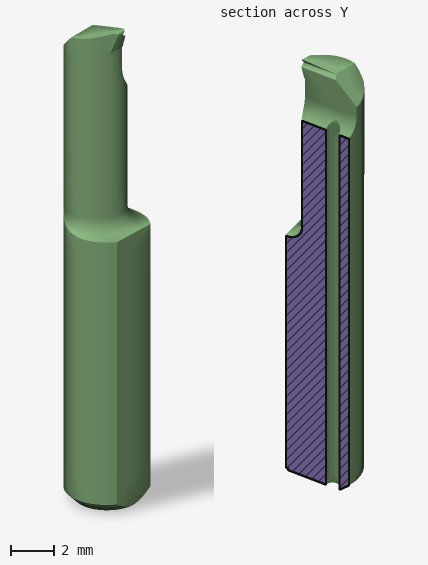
import cadquery as cq
import math


TOTAL_LENGTH = 24.0
SHANK_RADIUS = 2.0
SHANK_LENGTH = 13.8
FLAT_X = 1.55
END_CHAMFER = 0.5

NECK_RADIUS = 1.5
NECK_AXIS_X = -0.7
SHOULDER_RADIUS = 0.8

RELIEF_Y = 0.1
RELIEF_START_Z = 21.97
RELIEF_BEND_RADIUS = 1.25
RELIEF_RAMP_ANGLE = math.radians(45)

COOLANT_DIAMETER = 0.7
COOLANT_X = -1.0
COOLANT_Y = 0.6

TIP_X = 1.05
TIP_BOTTOM_Z = 23.0
NOSE_RADIUS = 0.12
NOSE_CENTRE_X = TIP_X - NOSE_RADIUS
NOSE_CENTRE_Z = TOTAL_LENGTH - NOSE_RADIUS
FLANK_LEAN = math.radians(15)
FLANK_CLEARANCE = math.radians(6)

END_FACE_SLOPE = math.radians(7.5)
END_FACE_CLEARANCE = math.radians(7)
BEVEL_START_Z = 22.5
BEVEL_ANGLE = math.radians(45)

CUTTING_EDGE_Y = 0.02
GROOVE_ROOT_Y = -0.13
GROOVE_ROOT_Z = 23.74
GROOVE_EXIT_Z = 23.62

CLEAR = 30.0


def half_space(point, normal):
    """Block lying on the side of a plane that its normal points to."""
    plane = cq.Plane(origin=point, normal=normal)
    return cq.Workplane(plane).rect(2 * CLEAR, 2 * CLEAR).extrude(CLEAR)


def shank_envelope():
    """Full-length round bar with the drive flat and the chamfer at the clamped end."""
    profile = [
        (0, 0),
        (SHANK_RADIUS - END_CHAMFER, 0),
        (SHANK_RADIUS, END_CHAMFER),
        (SHANK_RADIUS, TOTAL_LENGTH),
        (0, TOTAL_LENGTH),
    ]
    bar = cq.Workplane("XZ").polyline(profile).close().revolve(360, (0, 0), (0, 1))
    return bar.cut(half_space((FLAT_X, 0, 0), (1, 0, 0)))


def neck_clearance():
    """Ring around the neck axis that leaves the neck and its concave shoulder."""
    outer_radius = NECK_RADIUS + SHOULDER_RADIUS
    arc_drop = SHOULDER_RADIUS * math.sin(math.pi / 4)
    return (
        cq.Workplane("XZ", origin=(NECK_AXIS_X, 0, 0))
        .moveTo(NECK_RADIUS, TOTAL_LENGTH + CLEAR)
        .lineTo(NECK_RADIUS, SHANK_LENGTH + SHOULDER_RADIUS)
        .threePointArc(
            (outer_radius - arc_drop, SHANK_LENGTH + SHOULDER_RADIUS - arc_drop),
            (outer_radius, SHANK_LENGTH),
        )
        .lineTo(CLEAR, SHANK_LENGTH)
        .lineTo(CLEAR, TOTAL_LENGTH + CLEAR)
        .close()
        .revolve(360, (0, 0), (0, 1))
    )


def outside_nose(normal):
    """Half space beyond a plane that touches the nose circle at the cutting edge."""
    normal_x, _, normal_z = normal
    reach = NOSE_RADIUS / math.hypot(normal_x, normal_z)
    touch_point = (
        NOSE_CENTRE_X + reach * normal_x,
        CUTTING_EDGE_Y,
        NOSE_CENTRE_Z + reach * normal_z,
    )
    return half_space(touch_point, normal)


def end_face_stock():
    """Material above the end face, which falls away from the tip."""
    return outside_nose((-math.tan(END_FACE_SLOPE), -math.tan(END_FACE_CLEARANCE), 1))


def cutting_tip():
    """Side-cutting tooth, tangent to the neck at the back, with a relieved flank and a rounded nose."""
    tangent_offset = NECK_RADIUS * math.sin(math.pi / 4)
    back_x = NECK_AXIS_X + tangent_offset
    block_x = TIP_X + NOSE_RADIUS
    outline = [
        (back_x, RELIEF_Y),
        (back_x, -tangent_offset),
        (block_x, block_x - back_x - tangent_offset),
        (block_x, RELIEF_Y),
    ]
    tooth = (
        cq.Workplane("XY", origin=(0, 0, TIP_BOTTOM_Z))
        .polyline(outline)
        .close()
        .extrude(TOTAL_LENGTH + NOSE_RADIUS - TIP_BOTTOM_Z)
    )
    flank_stock = outside_nose((1, -math.tan(FLANK_CLEARANCE), -math.tan(FLANK_LEAN)))
    tooth = tooth.cut(flank_stock).cut(end_face_stock())
    nose_edge = cq.selectors.NearestToPointSelector((TIP_X, -tangent_offset / 4, TOTAL_LENGTH))
    return tooth.edges(nose_edge).fillet(NOSE_RADIUS)


def bevel_stock():
    """Material outside the bevel opposite the tip."""
    normal = (-math.sin(BEVEL_ANGLE), 0, math.cos(BEVEL_ANGLE))
    return half_space((-SHANK_RADIUS, 0, BEVEL_START_Z), normal)


def relief_stock():
    """Cut down to the cutting face, running out through a bend and a ramp."""
    def bend_point(angle):
        return (
            RELIEF_Y + RELIEF_BEND_RADIUS * (1 - math.cos(angle)),
            RELIEF_START_Z - RELIEF_BEND_RADIUS * math.sin(angle),
        )

    bend_end_y, bend_end_z = bend_point(RELIEF_RAMP_ANGLE)
    ramp_run = 2 * SHANK_RADIUS
    ramp_end_y = bend_end_y + ramp_run
    ramp_end_z = bend_end_z - ramp_run / math.tan(RELIEF_RAMP_ANGLE)
    return (
        cq.Workplane("YZ", origin=(-CLEAR, 0, 0))
        .moveTo(RELIEF_Y, TOTAL_LENGTH + CLEAR)
        .lineTo(RELIEF_Y, RELIEF_START_Z)
        .threePointArc(bend_point(RELIEF_RAMP_ANGLE / 2), (bend_end_y, bend_end_z))
        .lineTo(ramp_end_y, ramp_end_z)
        .lineTo(ramp_end_y, TOTAL_LENGTH + CLEAR)
        .close()
        .extrude(2 * CLEAR)
    )


def chip_groove():
    """Shallow groove under the cutting edge, open to the cutting face."""
    profile = [
        (CUTTING_EDGE_Y, TOTAL_LENGTH + CLEAR),
        (CUTTING_EDGE_Y, TOTAL_LENGTH),
        (GROOVE_ROOT_Y, GROOVE_ROOT_Z),
        (RELIEF_Y, GROOVE_EXIT_Z),
        (RELIEF_Y, TOTAL_LENGTH + CLEAR),
    ]
    return (
        cq.Workplane("YZ", origin=(-CLEAR, 0, 0))
        .polyline(profile)
        .close()
        .extrude(2 * CLEAR)
    )


def coolant_hole():
    """Straight hole through the whole length, opening on the relief."""
    return (
        cq.Workplane("XY")
        .center(COOLANT_X, COOLANT_Y)
        .circle(COOLANT_DIAMETER / 2)
        .extrude(TOTAL_LENGTH)
    )


body = shank_envelope().cut(neck_clearance()).cut(end_face_stock())
body = body.union(cutting_tip())
for stock in (bevel_stock(), relief_stock(), chip_groove(), coolant_hole()):
    body = body.cut(stock)
result = body